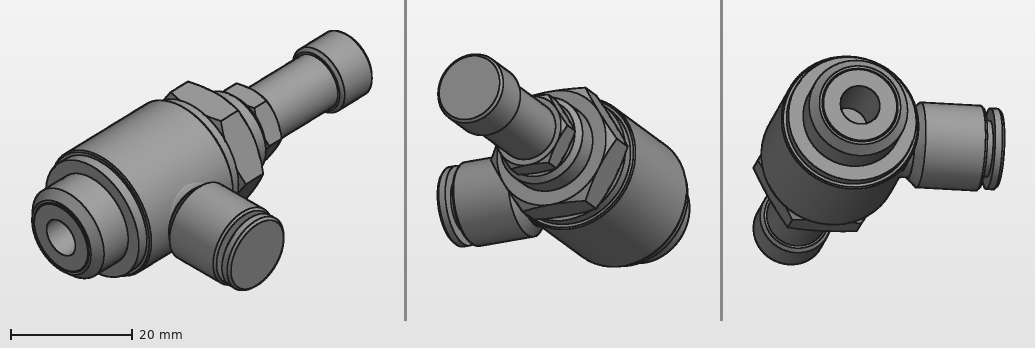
import cadquery as cq
import math


thread_radius = 8.25
thread_end = 7.4
pad_height = 0.1
pad_face_radius = 6.15
pad_base_radius = 6.35
tip_chamfer_end = 1.7
tip_radius = 6.8
bore_radius = 3.3
bore_depth = 12.0

shoulder_radius = 10.7
shoulder_length = 1.9
body_radius = 11.5
body_length = 19.8
body_chamfer = 0.25
body_start = thread_end + shoulder_length
body_end = body_start + body_length
rear_shoulder_end = body_end + shoulder_length

hex_chamfer_angle = 30.0
large_hex_flats = 20.0
large_hex_end = rear_shoulder_end + 5.9
collar_radius = 7.55
collar_chamfer = 0.95
collar_end = large_hex_end + 4.75
small_hex_flats = 12.0
small_hex_end = collar_end + 4.0
rod_radius = 5.0
rod_end = 60.4
knob_radius = 6.0
knob_front_chamfer = 0.6
knob_rear_chamfer = 0.45
overall_length = 67.89

port_y = (body_start + body_end) / 2
neck_radius = 5.5
neck_fillet = 0.4
neck_end = 11.6
cone_start_radius = 5.65
cone_end = 13.15
port_radius = 7.05
port_end = 23.55
port_edge_chamfer = 0.4
sleeve_radius = 4.65
flange_start = 24.85
flange_radius = 6.7
flange_chamfer = 0.45
flange_end = 26.5


def cylinder(radius, start, end):
    """Round section of the main axis between two Y positions."""
    plane = cq.Workplane("XZ", origin=(0, start, 0))
    return plane.circle(radius).extrude(start - end)


def cone_frustum(start_radius, end_radius, start, end):
    """Conical section of the main axis between two Y positions."""
    profile = [(0, start), (start_radius, start), (end_radius, end), (0, end)]
    return cq.Workplane("XY").polyline(profile).close().revolve(360, (0, 0), (0, 1))


def chamfered_hexagon(flats, start, end):
    """Hexagon with corners along X, its corners bevelled at both ends."""
    corner_radius = flats / math.sqrt(3)
    face_radius = flats / 2
    bevel = (corner_radius - face_radius) * math.tan(math.radians(hex_chamfer_angle))
    plane = cq.Workplane("XZ", origin=(0, start, 0))
    prism = plane.polygon(6, 2 * corner_radius).extrude(start - end)
    envelope_profile = [
        (0, start),
        (face_radius, start),
        (corner_radius, start + bevel),
        (corner_radius, end - bevel),
        (face_radius, end),
        (0, end),
    ]
    envelope = cq.Workplane("XY").polyline(envelope_profile).close().revolve(360, (0, 0), (0, 1))
    return prism.intersect(envelope)


def threaded_end():
    pad = cone_frustum(pad_face_radius, pad_base_radius, 0, pad_height)
    tip = cone_frustum(tip_radius, thread_radius, pad_height, tip_chamfer_end)
    return pad.union(tip).union(cylinder(thread_radius, tip_chamfer_end, thread_end))


def body():
    shoulders = cylinder(shoulder_radius, thread_end, rear_shoulder_end)
    return shoulders.union(cylinder(body_radius, body_start, body_end).edges().chamfer(body_chamfer))


def collar():
    return cylinder(collar_radius, large_hex_end, collar_end).edges(">Y").chamfer(collar_chamfer)


def knob():
    head = cylinder(knob_radius, rod_end, overall_length)
    head = head.edges("<Y").chamfer(knob_front_chamfer)
    return head.edges(">Y").chamfer(knob_rear_chamfer)


def body_with_neck():
    """Body with the round port neck, a small fillet where the two meet."""
    neck = cq.Workplane("YZ", origin=(0, port_y, 0)).circle(neck_radius).extrude(cone_end)
    joined = body().union(neck)
    half_width = neck_radius + neck_fillet
    seam_start = math.sqrt(body_radius**2 - neck_radius**2) - neck_fillet
    seam_box = cq.selectors.BoxSelector(
        (seam_start, port_y - half_width, -half_width),
        (body_radius + neck_fillet, port_y + half_width, half_width),
        boundingbox=True,
    )
    return joined.edges(seam_box).fillet(neck_fillet)


def port_head():
    """Round port head and release sleeve, turned about an axis along X."""
    profile = [
        (neck_end, 0),
        (neck_end, cone_start_radius),
        (cone_end, port_radius),
        (port_end - port_edge_chamfer, port_radius),
        (port_end, port_radius - port_edge_chamfer),
        (port_end, sleeve_radius),
        (flange_start, sleeve_radius),
        (flange_start, flange_radius),
        (flange_end - flange_chamfer, flange_radius),
        (flange_end, flange_radius - flange_chamfer),
        (flange_end, 0),
    ]
    plane = cq.Workplane("XY", origin=(0, port_y, 0))
    return plane.polyline(profile).close().revolve(360, (0, 0), (1, 0))


result = (
    threaded_end()
    .union(body_with_neck())
    .union(port_head())
    .union(chamfered_hexagon(large_hex_flats, rear_shoulder_end, large_hex_end))
    .union(collar())
    .union(chamfered_hexagon(small_hex_flats, collar_end, small_hex_end))
    .union(cylinder(rod_radius, small_hex_end, rod_end))
    .union(knob())
    .cut(cylinder(bore_radius, 0, bore_depth))
)